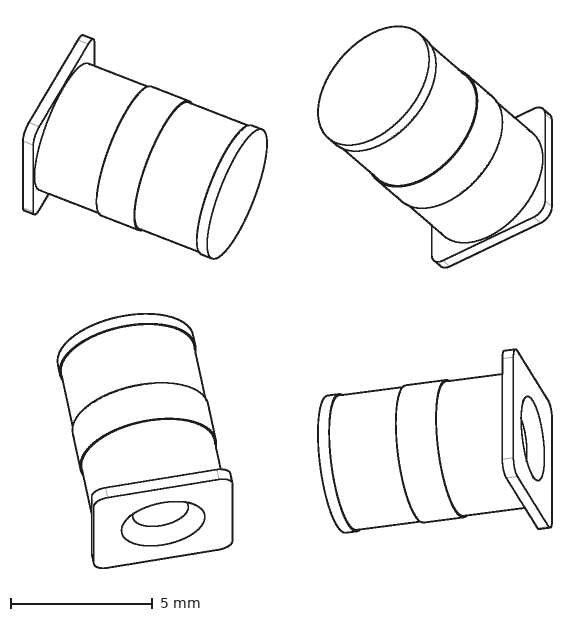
import cadquery as cq

total_length = 7.2
plate_side = 5.0
plate_thickness = 0.41
plate_corner_radius = 0.5

body_diameter = 4.8
raised_diameter = 4.9
band_width = 1.475
rim_width = plate_thickness

recess_mouth_diameter = 3.0
recess_floor_diameter = 2.0
recess_depth = (recess_mouth_diameter - recess_floor_diameter) / 2


def cylinder_along_x(start, length, diameter):
    return cq.Workplane("YZ").workplane(offset=start).circle(diameter / 2).extrude(length)


def square_plate():
    plate = cq.Workplane("YZ").rect(plate_side, plate_side).extrude(plate_thickness)
    return plate.edges("|X").fillet(plate_corner_radius)


def conical_recess():
    profile = [
        (0, 0),
        (0, recess_mouth_diameter / 2),
        (recess_depth, recess_floor_diameter / 2),
        (recess_depth, 0),
    ]
    return cq.Workplane("XY").polyline(profile).close().revolve(360, (0, 0, 0), (1, 0, 0))


band_start = (plate_thickness + total_length - rim_width - band_width) / 2

body = cylinder_along_x(plate_thickness, total_length - plate_thickness, body_diameter)
band = cylinder_along_x(band_start, band_width, raised_diameter)
rim = cylinder_along_x(total_length - rim_width, rim_width, raised_diameter)

result = square_plate().union(body).union(band).union(rim).cut(conical_recess())